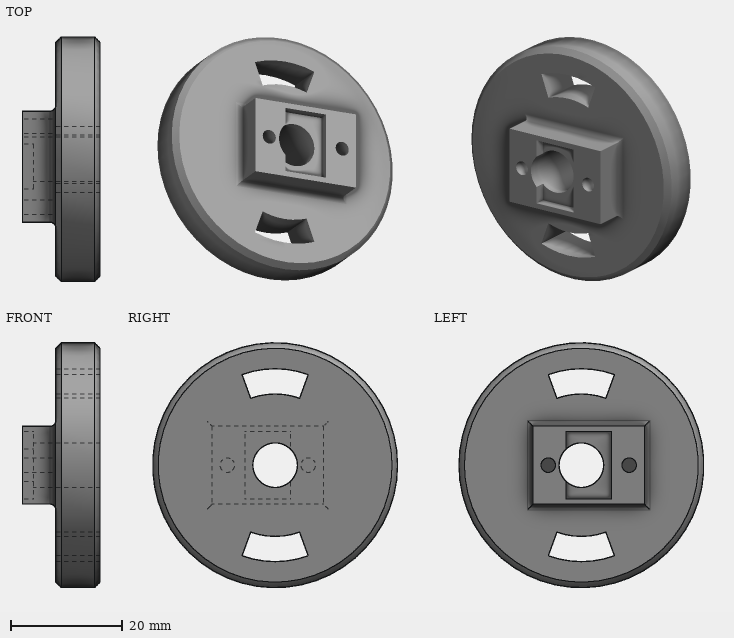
import cadquery as cq
import math

disc_diameter = 44.1
disc_thickness = 8.0
rim_chamfer = 1.0
bore_diameter = 8.0

boss_width = 20.0
boss_height = 14.02
boss_length = 6.0
boss_offset = -1.32
boss_root_fillet = 1.0

pocket_width = 8.1
pocket_height = 12.1
pocket_depth = 2.0
pin_hole_diameter = 2.6
pin_hole_spacing = 14.55
pin_hole_depth = boss_length

slot_outer_radius = 17.35
slot_inner_radius = 12.85
slot_half_angle = 20.0

boss_face_x = -boss_length
total_length = disc_thickness + boss_length


def make_disc():
    disc = cq.Workplane("YZ").circle(disc_diameter / 2).extrude(disc_thickness)
    return disc.edges("%CIRCLE").chamfer(rim_chamfer)


def add_boss(body):
    boss = (
        cq.Workplane("YZ")
        .center(boss_offset, 0)
        .rect(boss_width, boss_height)
        .extrude(-boss_length)
    )
    root_edges = cq.selectors.BoxSelector(
        (-boss_root_fillet / 2, boss_offset - boss_width, -boss_height),
        (boss_root_fillet / 2, boss_offset + boss_width, boss_height),
    )
    return body.union(boss).edges("|Y or |Z").edges(root_edges).fillet(boss_root_fillet)


def boss_face_plane():
    return cq.Workplane("YZ", origin=(boss_face_x, boss_offset, 0))


def make_pocket():
    return boss_face_plane().rect(pocket_width, pocket_height).extrude(pocket_depth)


def make_pin_holes():
    half_spacing = pin_hole_spacing / 2
    return (
        boss_face_plane()
        .pushPoints([(-half_spacing, 0), (half_spacing, 0)])
        .circle(pin_hole_diameter / 2)
        .extrude(pin_hole_depth)
    )


def make_bore():
    return cq.Workplane("YZ", origin=(boss_face_x, 0, 0)).circle(bore_diameter / 2).extrude(total_length)


def make_slot(direction):
    """Curved slot through the disc, centred on +Z (direction 1) or -Z (direction -1)."""

    def point(radius, angle):
        tilt = math.radians(angle)
        return (radius * math.sin(tilt), direction * radius * math.cos(tilt))

    return (
        cq.Workplane("YZ")
        .moveTo(*point(slot_outer_radius, -slot_half_angle))
        .threePointArc(point(slot_outer_radius, 0), point(slot_outer_radius, slot_half_angle))
        .lineTo(*point(slot_inner_radius, slot_half_angle))
        .threePointArc(point(slot_inner_radius, 0), point(slot_inner_radius, -slot_half_angle))
        .close()
        .extrude(disc_thickness)
    )


result = add_boss(make_disc())
result = result.cut(make_pocket()).cut(make_pin_holes()).cut(make_bore())
for side in (1, -1):
    result = result.cut(make_slot(side))